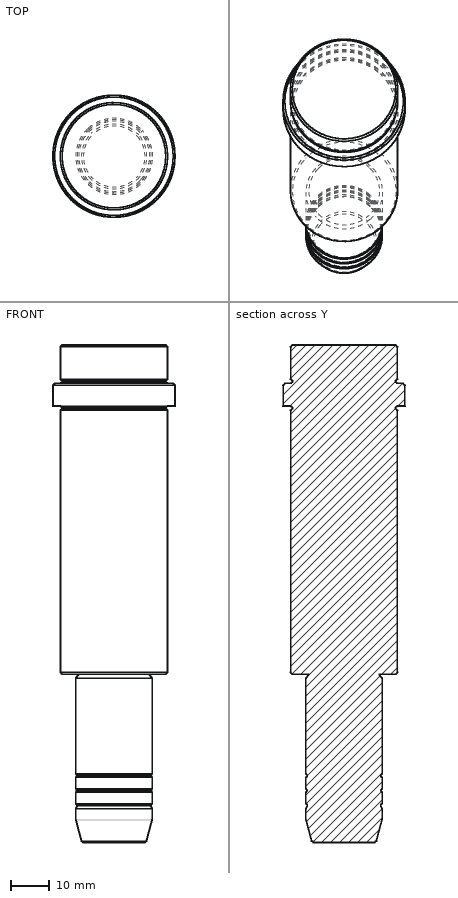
import cadquery as cq
import math

total_height = 130.0
body_radius = 14.0
flange_radius = 16.0
pilot_radius = 10.0

flange_bottom = 114.0
flange_top = 120.0
body_bottom = 44.0
edge_chamfer = 0.5

lead_height = 6.0
lead_angle = math.radians(15)
tip_chamfer = 0.4

relief_width = 1.0
relief_depth = 0.5
relief_slope = 0.4

neck_height = 1.0
neck_depth = 0.8

ring_pitch = 3.9
ring_count = 3
ring_width = 0.9
ring_depth = 0.4
ring_slope = 0.4
lowest_ring_bottom = 9.2
lowest_ring_run_out = 0.4


def cylinder(radius, bottom, top):
    return cq.Workplane("XY").workplane(offset=bottom).circle(radius).extrude(top - bottom)


def groove(radius, depth, bottom, width, lower_slope, upper_slope):
    """Ring to cut from a shaft, with sloping walls at its two ends."""
    floor_radius = radius - depth
    top = bottom + width
    floor_bottom = bottom + lower_slope
    floor_top = top - upper_slope
    outline = [
        (radius, bottom),
        (floor_radius, floor_bottom),
        (floor_radius, floor_top),
        (radius, top),
    ]
    return cq.Workplane("XZ").polyline(outline).close().revolve(360, (0, 0), (0, 1))


body = cylinder(body_radius, body_bottom, total_height).edges().chamfer(edge_chamfer)

for relief_bottom in (flange_top, flange_bottom - relief_width):
    body = body.cut(groove(body_radius, relief_depth, relief_bottom, relief_width, relief_slope, relief_slope))

flange = cylinder(flange_radius, flange_bottom, flange_top).faces(">Z").edges().chamfer(edge_chamfer)

tip_radius = pilot_radius - lead_height * math.tan(lead_angle)
pilot_outline = [
    (0, 0),
    (tip_radius - tip_chamfer, 0),
    (tip_radius + tip_chamfer * math.tan(lead_angle), tip_chamfer),
    (pilot_radius, lead_height),
    (pilot_radius, body_bottom),
    (0, body_bottom),
]
pilot = cq.Workplane("XZ").polyline(pilot_outline).close().revolve(360, (0, 0), (0, 1))

neck_bottom = body_bottom - neck_height
neck_outline = [
    (pilot_radius, neck_bottom),
    (pilot_radius - neck_depth, body_bottom),
    (pilot_radius, body_bottom),
]
pilot = pilot.cut(cq.Workplane("XZ").polyline(neck_outline).close().revolve(360, (0, 0), (0, 1)))

for index in range(ring_count):
    ring_bottom = lowest_ring_bottom + index * ring_pitch
    run_out = lowest_ring_run_out if index == 0 else 0.0
    bottom = ring_bottom - run_out
    width = ring_width + run_out
    pilot = pilot.cut(groove(pilot_radius, ring_depth, bottom, width, ring_slope + run_out, ring_slope))

result = body.union(flange).union(pilot)